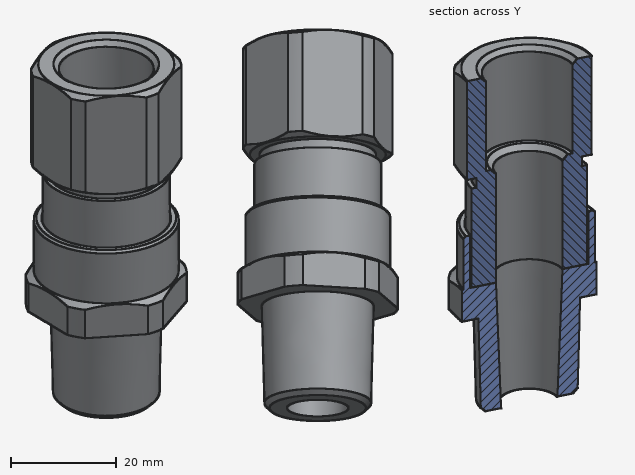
import cadquery as cq
import math

total_height = 70.75
thread_top = 19.95
body_hex_top = 26.9
collar_top = 38.0
sleeve_top = 47.8
swivel_hex_bottom = 49.75

taper_tip_radius = 10.1
taper_root_radius = 10.6
tip_chamfer = 1.0
body_hex_flats = 28.0
body_hex_corner_radius = 30.5 / 2
collar_radius = 13.7
collar_chamfer = 0.5
bore_tip_radius = 5.8

swivel_hex_flats = 26.05
swivel_hex_corner_radius = 28.5 / 2
swivel_hex_face_radius = 12.9
neck_radius = 11.05
sleeve_radius = 12.0
sleeve_bottom = body_hex_top
sleeve_clearance = 0.2
female_bore_radius = 9.0
female_bore_depth = 19.8
female_chamfer = 1.0
funnel_mouth_radius = 8.0
passage_radius = 6.85

hex_chamfer_slope = math.tan(math.radians(30))


def revolve_profile(points):
    """Solid of revolution about Z from (radius, height) points."""
    return cq.Workplane("XZ").polyline(points).close().revolve(360, (0, 0), (0, 1))


def hexagon(flats, bottom, top):
    """Hexagonal prism with flats facing -X and +X."""
    corner_diameter = flats / math.cos(math.radians(30))
    prism = cq.Workplane("XY").polygon(6, corner_diameter).extrude(top - bottom)
    return prism.rotate((0, 0, 0), (0, 0, 1), 30).translate((0, 0, bottom))


def make_body():
    bevel_height = (body_hex_corner_radius - collar_radius) * hex_chamfer_slope
    corner_envelope = revolve_profile([
        (0, thread_top),
        (body_hex_corner_radius, thread_top),
        (body_hex_corner_radius, body_hex_top - bevel_height),
        (collar_radius, body_hex_top),
        (0, body_hex_top),
    ])
    hex_section = hexagon(body_hex_flats, thread_top, body_hex_top).intersect(corner_envelope)

    tapered_end = revolve_profile([
        (0, 0),
        (taper_tip_radius - tip_chamfer, 0),
        (taper_tip_radius, tip_chamfer),
        (taper_root_radius, thread_top),
        (0, thread_top),
    ])
    collar = revolve_profile([
        (0, body_hex_top),
        (collar_radius, body_hex_top),
        (collar_radius, collar_top - collar_chamfer),
        (collar_radius - collar_chamfer, collar_top),
        (0, collar_top),
    ])

    socket_radius = sleeve_radius + sleeve_clearance
    bore = revolve_profile([
        (0, 0),
        (bore_tip_radius, 0),
        (passage_radius, sleeve_bottom),
        (socket_radius, sleeve_bottom),
        (socket_radius, collar_top),
        (0, collar_top),
    ])
    return tapered_end.union(hex_section).union(collar).cut(bore)


def make_swivel():
    bevel_height = (swivel_hex_corner_radius - swivel_hex_face_radius) * hex_chamfer_slope
    corner_envelope = revolve_profile([
        (0, swivel_hex_bottom),
        (swivel_hex_face_radius, swivel_hex_bottom),
        (swivel_hex_corner_radius, swivel_hex_bottom + bevel_height),
        (swivel_hex_corner_radius, total_height - bevel_height),
        (swivel_hex_face_radius, total_height),
        (0, total_height),
    ])
    prism = hexagon(swivel_hex_flats, swivel_hex_bottom, total_height)
    hex_section = prism.intersect(corner_envelope)

    stem = revolve_profile([
        (0, sleeve_bottom),
        (sleeve_radius, sleeve_bottom),
        (sleeve_radius, sleeve_top),
        (neck_radius, sleeve_top),
        (neck_radius, swivel_hex_bottom),
        (0, swivel_hex_bottom),
    ])

    floor = total_height - female_bore_depth
    bore = revolve_profile([
        (0, sleeve_bottom),
        (passage_radius, sleeve_bottom),
        (passage_radius, floor - (funnel_mouth_radius - passage_radius)),
        (funnel_mouth_radius, floor),
        (female_bore_radius, floor),
        (female_bore_radius, total_height - female_chamfer),
        (female_bore_radius + female_chamfer, total_height),
        (0, total_height),
    ])
    return stem.union(hex_section).cut(bore)


body = make_body()
swivel = make_swivel()

result = cq.Compound.makeCompound([body.val(), swivel.val()])